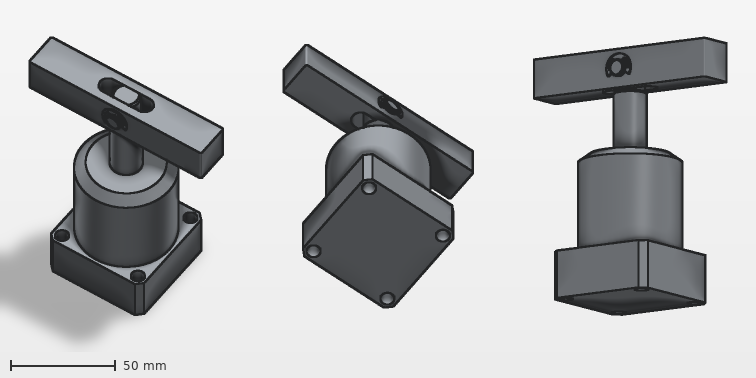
import cadquery as cq
import math

total_height = 121.0

flange_side = 54.0
flange_height = 23.0
flange_corner_chamfer = 3.1
bolt_spacing = 44.0
bolt_hole_diameter = 6.7
cylinder_diameter = 50.0
cylinder_top_diameter = 38.7
cone_height = 4.0
housing_height = 71.0

arm_length = 100.0
arm_side = 18.8
arm_corner_radius = 1.0
slot_length = 30.0
arm_bottom = total_height - arm_side

rod_diameter = 16.0
rod_chamfer = 1.0
tongue_thickness = 9.0
shoulder_gap = 1.0
shoulder_height = arm_bottom - shoulder_gap
tongue_diameter = rod_diameter - 2 * rod_chamfer

pin_diameter = 8.0
pin_length = 23.2
pin_chamfer = 0.5
pin_height = arm_bottom + arm_side / 2
groove_diameter = 6.0

clip_diameter = 14.0
clip_thickness = 0.6
front_clip_tilt = 10.5
rear_clip_tilt = 0.0
clip_opening_angle = 118.0
relief_diameter = 11.1
relief_start_angle = 33.5
relief_end_angle = 93.5


def make_housing():
    flange = (
        cq.Workplane("XY")
        .rect(flange_side, flange_side)
        .extrude(flange_height)
        .edges("|Z")
        .chamfer(flange_corner_chamfer)
        .faces(">Z")
        .workplane()
        .rect(bolt_spacing, bolt_spacing, forConstruction=True)
        .vertices()
        .hole(bolt_hole_diameter)
    )
    cone_width = (cylinder_diameter - cylinder_top_diameter) / 2
    cylinder = (
        cq.Workplane("XY", origin=(0, 0, flange_height))
        .circle(cylinder_diameter / 2)
        .extrude(housing_height - flange_height)
        .faces(">Z")
        .chamfer(cone_height, cone_width)
    )
    return flange.union(cylinder)


def pin_bore():
    """Cylinder along Y that clears the cross pin right through the arm and the rod tongue."""
    return (
        cq.Workplane("XZ", origin=(0, 0, pin_height))
        .circle(pin_diameter / 2)
        .extrude(arm_side / 2, both=True)
    )


def make_rod():
    shank = (
        cq.Workplane("XY", origin=(0, 0, housing_height))
        .circle(rod_diameter / 2)
        .extrude(shoulder_height - housing_height)
        .faces(">Z")
        .chamfer(rod_chamfer)
    )
    tongue_height = total_height - shoulder_height
    flats = (
        cq.Workplane("XY", origin=(0, 0, shoulder_height))
        .rect(tongue_diameter, tongue_thickness)
        .extrude(tongue_height)
    )
    tongue = (
        cq.Workplane("XY", origin=(0, 0, shoulder_height))
        .circle(tongue_diameter / 2)
        .extrude(tongue_height)
        .faces(">Z")
        .chamfer(rod_chamfer)
        .intersect(flats)
    )
    return shank.union(tongue).cut(pin_bore())


def make_arm():
    slot = (
        cq.Workplane("XY", origin=(0, 0, arm_bottom))
        .slot2D(slot_length, tongue_thickness)
        .extrude(arm_side)
    )
    return (
        cq.Workplane("XY", origin=(0, 0, arm_bottom))
        .rect(arm_length, arm_side)
        .extrude(arm_side)
        .edges("|Z")
        .fillet(arm_corner_radius)
        .cut(slot)
        .cut(pin_bore())
    )


def make_pin():
    pin = (
        cq.Workplane("XZ", origin=(0, 0, pin_height))
        .circle(pin_diameter / 2)
        .extrude(pin_length / 2, both=True)
        .faces("<Y or >Y")
        .chamfer(pin_chamfer)
    )
    groove = (
        cq.Workplane("XZ", origin=(0, -arm_side / 2, pin_height))
        .circle(pin_diameter / 2)
        .circle(groove_diameter / 2)
        .extrude(clip_thickness)
    )
    return pin.cut(groove).cut(groove.mirror("XZ"))


def ring_sector(inner_radius, outer_radius, start_angle, end_angle):
    """Flat ring sector on the -Y face of the arm; angles run in degrees from +X towards +Z."""
    middle_angle = (start_angle + end_angle) / 2

    def point(radius, angle):
        turn = math.radians(angle)
        return (radius * math.cos(turn), radius * math.sin(turn))

    return (
        cq.Workplane("XZ", origin=(0, -arm_side / 2, pin_height))
        .moveTo(*point(outer_radius, start_angle))
        .threePointArc(point(outer_radius, middle_angle), point(outer_radius, end_angle))
        .lineTo(*point(inner_radius, end_angle))
        .threePointArc(point(inner_radius, middle_angle), point(inner_radius, start_angle))
        .close()
        .extrude(clip_thickness)
    )


def make_clip(tilt, turn_about_z):
    """E-shaped clip: an open ring with two reliefs that leave three lugs gripping the groove."""
    symmetry_angle = 90 + tilt
    half_sweep = (360 - clip_opening_angle) / 2
    inner_radius = groove_diameter / 2
    clip = ring_sector(
        inner_radius, clip_diameter / 2, symmetry_angle - half_sweep, symmetry_angle + half_sweep
    )
    for side in (-1, 1):
        relief = ring_sector(
            inner_radius,
            relief_diameter / 2,
            symmetry_angle + side * relief_start_angle,
            symmetry_angle + side * relief_end_angle,
        )
        clip = clip.cut(relief)
    return clip.rotate((0, 0, 0), (0, 0, 1), turn_about_z)


housing = make_housing()
rod = make_rod()
arm = make_arm()
pin = make_pin()
clips = [make_clip(tilt, turn) for tilt, turn in ((front_clip_tilt, 0), (rear_clip_tilt, 180))]

result = cq.Compound.makeCompound(
    [housing.val(), rod.val(), arm.val(), pin.val(), *[clip.val() for clip in clips]]
)